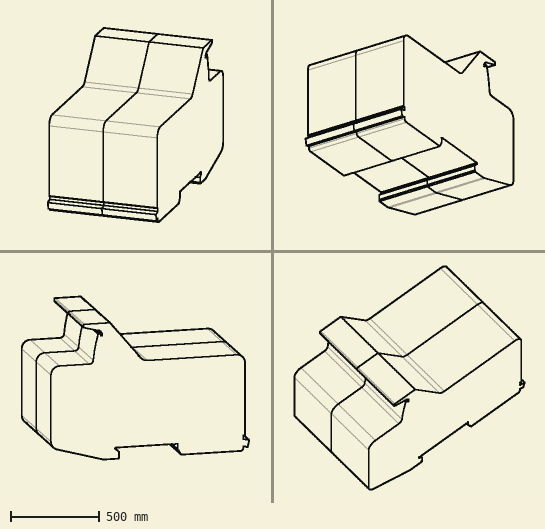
import cadquery as cq

total_width = 650.0
module_count = 2
module_width = total_width / module_count
back_y = 1165.0
front_y = 25.0
deck_z = 564.0
top_z = 798.0

corner_radius = 50.0
slope_radius = 48.0
hook_tip_radius = 6.0
tower_foot_radius = 23.0
front_foot_radius = 16.0

slope_foot_y = 622.0
slope_top_y = 818.0
hook_tip_y = 974.0
hook_tip_z = 779.0
hook_bend_y = 890.0
hook_bend_z = 757.0
hook_throat_y = 874.0
hook_throat_z = 750.0
notch_inner_y = 865.0
notch_outer_y = 873.0
notch_floor_z = 725.0
notch_rim_z = 736.0
tower_back_top_y = 888.0
tower_back_middle_y = 904.0
tower_back_middle_z = 671.0
tower_back_foot_y = 918.0

back_slope_z = 86.0
back_slope_foot_y = 856.0

rail_roof_z = 65.0
rail_back_y = 764.0
rail_front_y = 420.0
undercut_y = 788.0
undercut_z = 58.0
undercut_bevel = 3.0
lip_top_z = 40.0
lip_bevel_width = 3.0
lip_bevel_height = 9.0
ramp_top_z = 34.0
ramp_foot_y = 400.0

tab_root_y = 35.0
tab_root_bottom_z = 27.0
tab_tip_bottom_y = 9.0
tab_tip_bottom_z = 20.0
tab_tip_top_z = 60.0
tab_root_top_z = 69.0
front_notch_z = 89.0
front_wall_bevel = 5.0


def tower_and_deck(profile):
    """Continue from the front wall over the deck and tower to the back wall."""
    return (
        profile.lineTo(front_y, deck_z)
        .lineTo(slope_foot_y, deck_z)
        .lineTo(slope_top_y, top_z)
        .lineTo(hook_tip_y, top_z)
        .lineTo(hook_tip_y, hook_tip_z)
        .lineTo(hook_bend_y, hook_bend_z)
        .threePointArc((hook_throat_y, hook_throat_z), (notch_inner_y, notch_rim_z))
        .lineTo(notch_inner_y, notch_floor_z)
        .lineTo(notch_outer_y, notch_floor_z)
        .lineTo(notch_outer_y, notch_rim_z)
        .lineTo(tower_back_top_y, notch_rim_z)
        .threePointArc((tower_back_middle_y, tower_back_middle_z), (tower_back_foot_y, deck_z))
        .lineTo(back_y, deck_z)
    )


def underside(profile):
    """Continue from the back wall along the underside to the front foot."""
    return (
        profile.lineTo(back_y, back_slope_z)
        .lineTo(back_slope_foot_y, 0)
        .lineTo(rail_back_y + lip_bevel_width, 0)
        .lineTo(rail_back_y, lip_bevel_height)
        .lineTo(rail_back_y, lip_top_z)
        .lineTo(undercut_y, undercut_z)
        .lineTo(undercut_y, rail_roof_z - undercut_bevel)
        .lineTo(undercut_y - undercut_bevel, rail_roof_z)
        .lineTo(rail_front_y, rail_roof_z)
        .lineTo(rail_front_y, ramp_top_z)
        .lineTo(ramp_foot_y, 0)
        .lineTo(tab_root_y, 0)
    )


def release_tab(profile):
    """Continue from the front foot around the tab to the notch above it."""
    return (
        profile.lineTo(tab_root_y, tab_root_bottom_z)
        .lineTo(tab_tip_bottom_y, tab_tip_bottom_z)
        .lineTo(0, tab_tip_top_z)
        .lineTo(tab_root_y, tab_root_top_z)
        .lineTo(tab_root_y, front_notch_z)
        .lineTo(front_y + front_wall_bevel, front_notch_z)
    )


def round_edge(body, y, z, radius):
    """Round the full-width edge that passes through the point (y, z)."""
    nearest = cq.selectors.NearestToPointSelector((module_width / 2, y, z))
    return body.edges("|X").edges(nearest).fillet(radius)


def make_module():
    """One module: the side profile extruded across the module width."""
    profile = cq.Workplane("YZ").moveTo(front_y, front_notch_z + front_wall_bevel)
    profile = tower_and_deck(profile)
    profile = underside(profile)
    profile = release_tab(profile)
    body = profile.close().extrude(module_width)

    rounded_edges = [
        (front_y, deck_z, corner_radius),
        (back_y, deck_z, corner_radius),
        (back_y, back_slope_z, corner_radius),
        (back_slope_foot_y, 0, corner_radius),
        (slope_foot_y, deck_z, slope_radius),
        (hook_tip_y, top_z, hook_tip_radius),
        (tower_back_foot_y, deck_z, tower_foot_radius),
        (tab_root_y, 0, front_foot_radius),
    ]
    for y, z, radius in rounded_edges:
        body = round_edge(body, y, z, radius)
    return body


modules = []
for index in range(module_count):
    module_x = index * module_width - total_width / 2
    modules.append(make_module().translate((module_x, 0, 0)).val())

result = cq.Compound.makeCompound(modules)